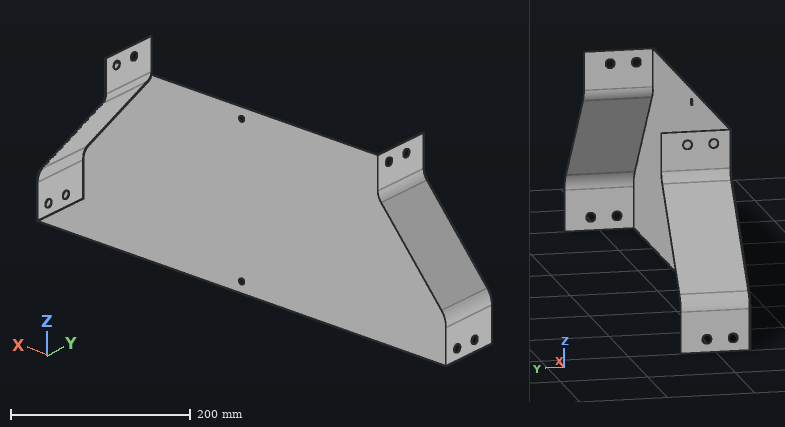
import cadquery as cq

LENGTH = 600.0
DEPTH = 80.0
HEIGHT = 230.0
SHEET = 1.0

SIDE_INSET = LENGTH / 6
LOWER_CORNER_Z = 59.0
UPPER_CORNER_Z = 179.0
LOWER_BEND_RADIUS = 30.0
UPPER_BEND_RADIUS = 20.0

PLATE_HOLE_DIAMETER = 7.0
FLANGE_HOLE_DIAMETER = 10.0
HOLE_EDGE_DISTANCE = 15.0
FLANGE_HOLE_DEPTHS = (20.0, 50.0)
HOLE_HEIGHTS = (HOLE_EDGE_DISTANCE, HEIGHT - HOLE_EDGE_DISTANCE)


def make_body():
    """Solid with the outer silhouette of the sheet, its front face at Y = 0."""
    base_x = LENGTH / 2
    top_x = base_x - SIDE_INSET
    right_side = [
        (base_x, 0),
        (base_x, LOWER_CORNER_Z),
        (top_x, UPPER_CORNER_Z),
        (top_x, HEIGHT),
    ]
    left_side = [(-x, z) for x, z in reversed(right_side)]
    body = cq.Workplane("XZ").polyline(right_side + left_side).close().extrude(-DEPTH)
    for corner_x, corner_z, radius in (
        (base_x, LOWER_CORNER_Z, LOWER_BEND_RADIUS),
        (top_x, UPPER_CORNER_Z, UPPER_BEND_RADIUS),
    ):
        for x in (-corner_x, corner_x):
            bend_edge = cq.selectors.NearestToPointSelector((x, DEPTH / 2, corner_z))
            body = body.edges("|Y").edges(bend_edge).fillet(radius)
    return body


def hollow(body):
    """Leave the front plate and the two bent flanges, open at back, top and bottom."""
    return body.faces(">Y or >Z or <Z").shell(-SHEET)


def cut_holes(part):
    """Drill the plate on its centre line and both flanges from side to side."""
    plate_holes = (
        cq.Workplane("XZ")
        .pushPoints([(0, z) for z in HOLE_HEIGHTS])
        .circle(PLATE_HOLE_DIAMETER / 2)
        .extrude(-SHEET)
    )
    flange_holes = (
        cq.Workplane("YZ")
        .pushPoints([(y, z) for y in FLANGE_HOLE_DEPTHS for z in HOLE_HEIGHTS])
        .circle(FLANGE_HOLE_DIAMETER / 2)
        .extrude(LENGTH / 2, both=True)
    )
    return part.cut(plate_holes).cut(flange_holes)


result = cut_holes(hollow(make_body()))